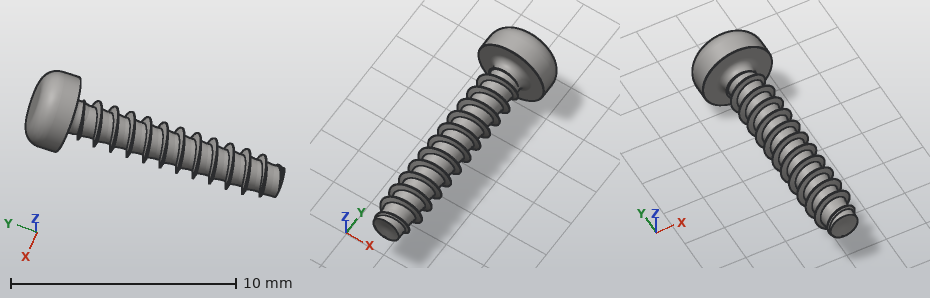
import cadquery as cq
import math

total_length = 11.6
head_diameter = 3.5
head_height = 1.6
head_round_radius = 0.8
bearing_chamfer = 0.02
shank_length = total_length - head_height
head_radius = head_diameter / 2

neck_radius = 0.75
neck_fillet_radius = 0.35
neck_length = 0.51
core_diameter = 1.36
core_radius = core_diameter / 2
core_start_depth = 0.79
tip_dish_radius = 0.63
tip_dish_depth = 0.07

thread_radius = 1.0
crest_half_width = 0.02
head_side_width = 0.14
tip_side_width = 0.1
buried_radius = 0.6
first_depth = 0.84
last_depth = 9.41
turns_between = 11
pitch = (last_depth - first_depth) / turns_between
points_per_turn = 12

runout_start_angle = -2 * math.pi
runout_end_angle = 2 * math.pi / 3
runout_start_radius = 0.74
runout_depth = neck_length
runout_width_ratio = 0.3
thinned_angle = -math.pi

fade_start_depth = 8.85
fade_slope = 0.28

ramp_high_radius = 0.73
ramp_length = 0.49
ramp_overlap = 0.006
ramp_low_radius = core_radius - ramp_overlap

sweep_end_depth = shank_length + pitch / 2
cutter_end_depth = shank_length + 2 * pitch


def ramp(value, low, high):
    """Fraction from 0 at low to 1 at high, held constant outside."""
    return min(1.0, max(0.0, (value - low) / (high - low)))


def helix_depth(angle):
    return first_depth + pitch * angle / (2 * math.pi)


def helix_angle(depth):
    return 2 * math.pi * (depth - first_depth) / pitch


def thread_section(angle):
    """Corners (depth, radius) of the thread and the sloping root behind it, at an angle around the axis."""
    helix = helix_depth(angle)
    centre = max(helix, runout_depth)
    rise = ramp(angle, runout_start_angle, runout_end_angle)
    sink = fade_slope * max(0.0, helix - fade_start_depth)
    crest = runout_start_radius + (thread_radius - runout_start_radius) * rise - sink
    width = runout_width_ratio + (1 - runout_width_ratio) * ramp(angle, thinned_angle, 0)
    foot_rise = ramp(angle, thinned_angle, 0) - ramp(helix, fade_start_depth, shank_length)
    foot = ramp_low_radius + (ramp_high_radius - ramp_low_radius) * foot_rise
    return [
        (centre - head_side_width * width, buried_radius - sink),
        (centre - crest_half_width * width, crest),
        (centre + crest_half_width * width, crest),
        (centre + tip_side_width * width, foot),
        (centre + ramp_length, ramp_low_radius),
        (centre + ramp_length, buried_radius),
    ]


def make_thread(start_angle, end_angle):
    """Solid swept by the thread section around the Y axis, with one set of ruled faces per turn."""
    turns = math.ceil((end_angle - start_angle) / (2 * math.pi))
    turn_angle = (end_angle - start_angle) / turns

    def corners(angle):
        return [
            cq.Vector(radius * math.cos(angle), -depth, radius * math.sin(angle))
            for depth, radius in thread_section(angle)
        ]

    faces = []
    for turn in range(turns):
        sections = []
        for step in range(points_per_turn + 1):
            sections.append(corners(start_angle + turn_angle * (turn + step / points_per_turn)))
        edges = [cq.Edge.makeSpline(list(corner_path)) for corner_path in zip(*sections)]
        faces += [cq.Face.makeRuledSurface(edges[i - 1], edges[i]) for i in range(len(edges))]
    for angle in (start_angle, end_angle):
        faces.append(cq.Face.makeFromWires(cq.Wire.makePolygon(corners(angle), close=True)))
    shell = cq.Shell.makeShell(faces)
    return cq.Workplane(cq.Solid.makeSolid(shell).fix())


def make_body():
    """Head, neck and core as one turned profile, running past the tip to be trimmed with the thread."""
    corner = math.sqrt(0.5)
    round_centre_x = head_radius - head_round_radius
    round_centre_y = head_height - head_round_radius
    fillet_centre_x = neck_radius + neck_fillet_radius
    return (
        cq.Workplane("XY")
        .moveTo(0, head_height)
        .lineTo(round_centre_x, head_height)
        .threePointArc(
            (round_centre_x + corner * head_round_radius, round_centre_y + corner * head_round_radius),
            (head_radius, round_centre_y),
        )
        .lineTo(head_radius, bearing_chamfer)
        .lineTo(head_radius - bearing_chamfer, 0)
        .lineTo(fillet_centre_x, 0)
        .threePointArc(
            (fillet_centre_x - corner * neck_fillet_radius, (corner - 1) * neck_fillet_radius),
            (neck_radius, -neck_fillet_radius),
        )
        .lineTo(neck_radius, -neck_length)
        .lineTo(core_radius, -core_start_depth)
        .lineTo(core_radius, -sweep_end_depth)
        .lineTo(0, -sweep_end_depth)
        .close()
        .revolve(360, (0, 0, 0), (0, 1, 0))
    )


def make_tip_cutter():
    """Everything beyond the tip, including a shallow conical dish in the end face."""
    return (
        cq.Workplane("XY")
        .moveTo(0, tip_dish_depth - shank_length)
        .lineTo(tip_dish_radius, -shank_length)
        .lineTo(head_radius, -shank_length)
        .lineTo(head_radius, -cutter_end_depth)
        .lineTo(0, -cutter_end_depth)
        .close()
        .revolve(360, (0, 0, 0), (0, 1, 0))
    )


thread = make_thread(runout_start_angle, helix_angle(sweep_end_depth))
result = make_body().union(thread).cut(make_tip_cutter())